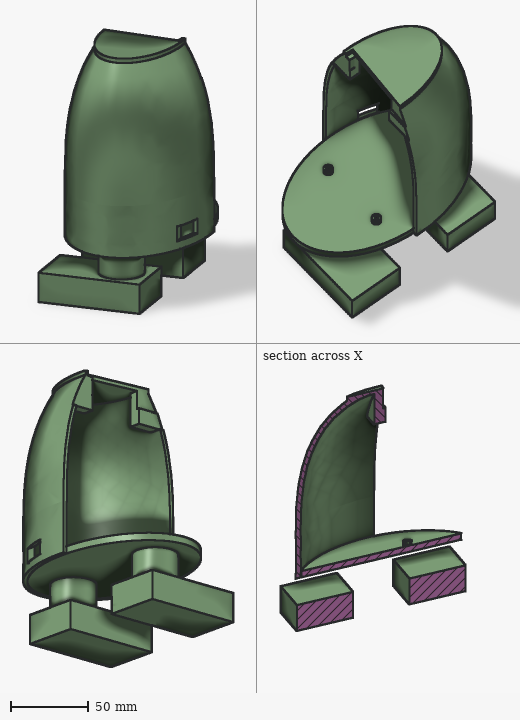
import cadquery as cq


FOOT_LENGTH = 70.0
FOOT_LEFT = 50.0
FOOT_WIDTH = 40.0
FOOT_HEIGHT = 20.0
FOOT_OFFSET = 40.0
POST_RADIUS = 15.0
POST_HEIGHT = 20.0
PLATE_SEMI_X = 44.7
PLATE_SEMI_Y = 68.3
PLATE_THICKNESS = 5.0
PLATE_BOTTOM = FOOT_HEIGHT + POST_HEIGHT
PLATE_TOP = PLATE_BOTTOM + PLATE_THICKNESS

PEG_RADIUS = 3.0
PEG_HOLE_RADIUS = 1.4
PEG_HEIGHT = 3.0
PEG_X = 24.5
PEG_Y = 18.8

WALL = 2.9
COVER_SEMI_X = PLATE_SEMI_X + WALL
COVER_SEMI_Y = PLATE_SEMI_Y + WALL
SKIRT_HEIGHT = 35.0
DOME_HEIGHT = 91.3
DOME_INSET = 19.7
DOME_SQUARE_SHARE = 0.14
DOME_STEPS = 8
LID_THICKNESS = 3.0
BACK_Y = 4.0
DOME_BOTTOM = PLATE_BOTTOM + SKIRT_HEIGHT
DOME_TOP = DOME_BOTTOM + DOME_HEIGHT
LID_TOP = DOME_TOP + LID_THICKNESS

RECESS_DEPTH = 0.8
RECESS_BOTTOM = 143.4

WEB_FRONT_Y = -5.0
WINDOW_LEFT = -18.6
WINDOW_RIGHT = 21.5

PANEL_TILT = -4.5
PANEL_FRONT_Y = -0.3
PANEL_DEPTH = 15.5
PANEL_RIGHT = 25.3

CABLE_LEFT = 38.8
CABLE_HEIGHT = 10.0
CABLE_BOTTOM = PLATE_BOTTOM + 6.0
CABLE_BACK_Y = -21.0

REACH = 101.7


def block(x_range, y_range, z_range):
    """A box given by its limits along each axis."""
    size = [high - low for low, high in (x_range, y_range, z_range)]
    return cq.Workplane("XY").box(*size, centered=False).translate((x_range[0], y_range[0], z_range[0]))


def oval(semi_x, semi_y, bottom, height):
    return cq.Workplane("XY").workplane(offset=bottom).ellipse(semi_x, semi_y).extrude(height)


def make_foot(y):
    foot = block(
        (-FOOT_LEFT, FOOT_LENGTH - FOOT_LEFT),
        (y - FOOT_WIDTH / 2, y + FOOT_WIDTH / 2),
        (0, FOOT_HEIGHT),
    )
    post = cq.Workplane("XY").workplane(offset=FOOT_HEIGHT).center(0, y)
    return foot.union(post.circle(POST_RADIUS).extrude(POST_HEIGHT))


def make_peg(x):
    peg = cq.Workplane("XY").workplane(offset=PLATE_TOP).center(x, PEG_Y)
    return peg.circle(PEG_RADIUS).circle(PEG_HOLE_RADIUS).extrude(PEG_HEIGHT)


def make_base():
    base = oval(PLATE_SEMI_X, PLATE_SEMI_Y, PLATE_BOTTOM, PLATE_THICKNESS)
    for side in (-1, 1):
        base = base.union(make_foot(side * FOOT_OFFSET))
        base = base.union(make_peg(side * PEG_X))
    return base


def dome_inset(rise):
    """Inset of the dome at a rise from 0 (bottom) to 1 (top), upright where it leaves the skirt."""
    return DOME_INSET * (DOME_SQUARE_SHARE * rise**2 + (1 - DOME_SQUARE_SHARE) * rise**3)


def domed_solid(semi_x, semi_y):
    """Oval skirt with its dome, without the lid."""
    skirt = oval(semi_x, semi_y, PLATE_BOTTOM, SKIRT_HEIGHT)
    sections = []
    for step in range(DOME_STEPS + 1):
        rise = step / DOME_STEPS
        inset = dome_inset(rise)
        section = cq.Workplane("XY").workplane(offset=DOME_BOTTOM + rise * DOME_HEIGHT)
        sections.append(section.ellipse(semi_x - inset, semi_y - inset).wires().val())
    dome = cq.Workplane(cq.Solid.makeLoft(sections))
    return skirt.union(dome)


def make_webs(outside):
    webs = block((-REACH, REACH), (WEB_FRONT_Y, BACK_Y), (RECESS_BOTTOM, DOME_TOP))
    window = block((WINDOW_LEFT, WINDOW_RIGHT), (WEB_FRONT_Y, BACK_Y), (RECESS_BOTTOM, DOME_TOP))
    return webs.cut(window).intersect(outside)


def make_panel_slot():
    """Slot open to the left and back: deep up to the window's right side, lid-deep beyond it."""
    deep = block((-REACH, WINDOW_RIGHT), (PANEL_FRONT_Y, REACH), (LID_TOP - PANEL_DEPTH, LID_TOP))
    shallow = block((-REACH, PANEL_RIGHT), (PANEL_FRONT_Y, REACH), (DOME_TOP, LID_TOP))
    return deep.union(shallow).rotate((0, 0, 0), (0, 0, 1), PANEL_TILT)


def make_cover():
    outside = domed_solid(COVER_SEMI_X, COVER_SEMI_Y)
    inside = domed_solid(PLATE_SEMI_X, PLATE_SEMI_Y)
    lid = oval(COVER_SEMI_X - DOME_INSET, COVER_SEMI_Y - DOME_INSET, DOME_TOP, LID_THICKNESS)
    cover = outside.cut(inside).union(lid).union(make_webs(outside))

    behind = block((-REACH, REACH), (BACK_Y, REACH), (0, LID_TOP))
    recess = block((-REACH, REACH), (BACK_Y - RECESS_DEPTH, REACH), (RECESS_BOTTOM, LID_TOP))
    cable_opening = block(
        (CABLE_LEFT, REACH),
        (-REACH, CABLE_BACK_Y),
        (CABLE_BOTTOM, CABLE_BOTTOM + CABLE_HEIGHT),
    )
    for cutter in (behind, recess, make_panel_slot(), cable_opening):
        cover = cover.cut(cutter)
    return cover


base = make_base()
cover = make_cover()
result = cq.Compound.makeCompound([base.solids().val(), cover.solids().val()])